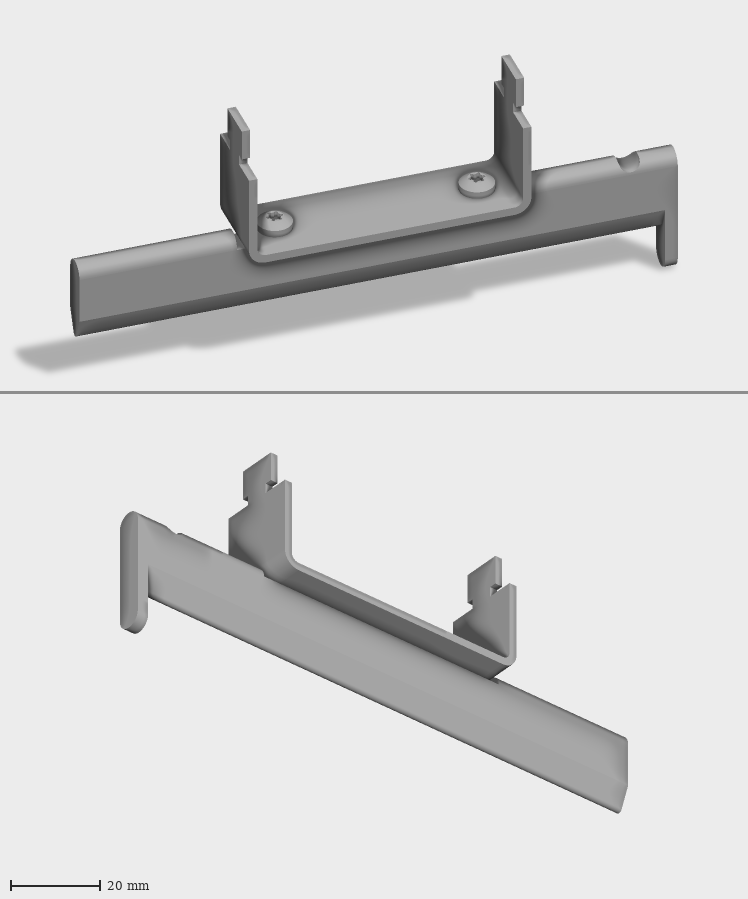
import cadquery as cq
import math

bar_length = 142.0
bar_width = 6.4
edge_radius = bar_width / 2
bar_top = 15.6
bar_height = 31.2
bar_bottom = bar_top - bar_height
shoulder_z = bar_top - edge_radius
bar_rear = bar_length / 2

foot_thickness = 3.0

taper_start_z = bar_bottom + 16.8
blade_tip_z = bar_bottom + 11.0
tip_radius = 1.0

notch_radius = 2.5
notch_inset = 11.1

bracket_centre_y = 0.4
bracket_length = 67.0
bracket_width = 20.0
sheet = 2.0
bend_inner_radius = 2.0
bend_outer_radius = bend_inner_radius + sheet
bracket_floor_z = shoulder_z
overall_height = 61.0
bracket_top = bar_bottom + overall_height
slot_clearance = 0.5

tab_width = 10.0
tab_height = 7.5
neck_width = 6.2
neck_height = 2.5

screw_spacing = 48.0
head_radius = 4.1
head_rim_height = 1.7
head_height = 3.0
head_flat_radius = 2.1
dome_bulge = 0.1
recess_depth = 1.4
recess_core_radius = 1.4
lobe_count = 6
lobe_radius = 0.4
lobe_centre_radius = 1.5


def start_bar_outline(side_end_z):
    """Rounded top of the bar's section, drawn from one flank to the other, ending at side_end_z."""
    return (
        cq.Workplane("XZ", origin=(0, bar_rear, 0))
        .moveTo(-edge_radius, side_end_z)
        .lineTo(-edge_radius, shoulder_z)
        .threePointArc((0, bar_top), (edge_radius, shoulder_z))
        .lineTo(edge_radius, side_end_z)
    )


def make_bar():
    """Round-topped bar with a tapered edge, a foot, a notch and the bracket slot."""
    foot_round_z = bar_bottom + edge_radius
    foot = (
        start_bar_outline(foot_round_z)
        .threePointArc((0, bar_bottom), (-edge_radius, foot_round_z))
        .close()
        .extrude(foot_thickness)
    )

    tip_centre_drop = taper_start_z - (blade_tip_z + tip_radius)
    tip_centre_reach = math.hypot(edge_radius, tip_centre_drop)
    lean = math.atan2(edge_radius, tip_centre_drop) - math.asin(tip_radius / tip_centre_reach)
    tangent_x = tip_radius * math.cos(lean)
    tangent_z = blade_tip_z + tip_radius * (1 - math.sin(lean))
    blade = (
        start_bar_outline(taper_start_z)
        .lineTo(tangent_x, tangent_z)
        .threePointArc((0, blade_tip_z), (-tangent_x, tangent_z))
        .close()
        .extrude(bar_length)
    )

    notch = (
        cq.Workplane("YZ")
        .center(bar_rear - notch_inset, bar_top)
        .circle(notch_radius)
        .extrude(bar_width, both=True)
    )
    slot = (
        cq.Workplane("XY", origin=(0, bracket_centre_y, bracket_floor_z))
        .rect(2 * bar_width, bracket_length + 2 * slot_clearance)
        .extrude(bar_height)
    )
    return blade.union(foot).cut(notch).cut(slot)


def make_bracket():
    """U-shaped sheet with a T-shaped tab at the top of each arm."""
    height = bracket_top - bracket_floor_z
    centre = (0, bracket_centre_y, bracket_floor_z + height / 2)
    outside = (
        cq.Workplane("XY")
        .box(bracket_width, bracket_length, height)
        .edges("|X and <Z")
        .fillet(bend_outer_radius)
    )
    inside = (
        cq.Workplane("XY")
        .box(bracket_width, bracket_length - 2 * sheet, height)
        .edges("|X and <Z")
        .fillet(bend_inner_radius)
        .translate((0, 0, sheet))
    )
    channel = outside.cut(inside).translate(centre)

    neck_top = bracket_top - tab_height
    arm_top = neck_top - neck_height
    for kept_width, low_z, high_z in (
        (neck_width, arm_top, neck_top),
        (tab_width, neck_top, bracket_top),
    ):
        relief_width = (bracket_width - kept_width) / 2
        relief_x = (kept_width + relief_width) / 2
        reliefs = (
            cq.Workplane("XY", origin=(0, bracket_centre_y, low_z))
            .pushPoints([(-relief_x, 0), (relief_x, 0)])
            .rect(relief_width, bracket_length)
            .extrude(high_z - low_z)
        )
        channel = channel.cut(reliefs)
    return channel


def make_screw_head():
    """Domed screw head with a six-lobed recess, its base at Z = 0."""
    dome_rise = head_height - head_rim_height
    dome_run = head_radius - head_flat_radius
    chord = math.hypot(dome_rise, dome_run)
    dome_mid = (
        head_flat_radius + dome_run / 2 + dome_bulge * dome_rise / chord,
        head_rim_height + dome_rise / 2 + dome_bulge * dome_run / chord,
    )
    head = (
        cq.Workplane("XZ")
        .lineTo(head_radius, 0)
        .lineTo(head_radius, head_rim_height)
        .threePointArc(dome_mid, (head_flat_radius, head_height))
        .lineTo(0, head_height)
        .close()
        .revolve(360, (0, 0, 0), (0, 1, 0))
    )
    recess_floor = cq.Workplane("XY", origin=(0, 0, head_height - recess_depth))
    lobes = (
        recess_floor
        .polarArray(lobe_centre_radius, 90, 360, lobe_count)
        .circle(lobe_radius)
        .extrude(head_height)
    )
    recess = recess_floor.circle(recess_core_radius).extrude(head_height).union(lobes)
    return head.cut(recess)


body = make_bar().union(make_bracket())
for side in (-1, 1):
    screw_y = bracket_centre_y + side * screw_spacing / 2
    screw_head = make_screw_head().translate((0, screw_y, bracket_floor_z + sheet))
    body = body.union(screw_head)

result = body.solids()